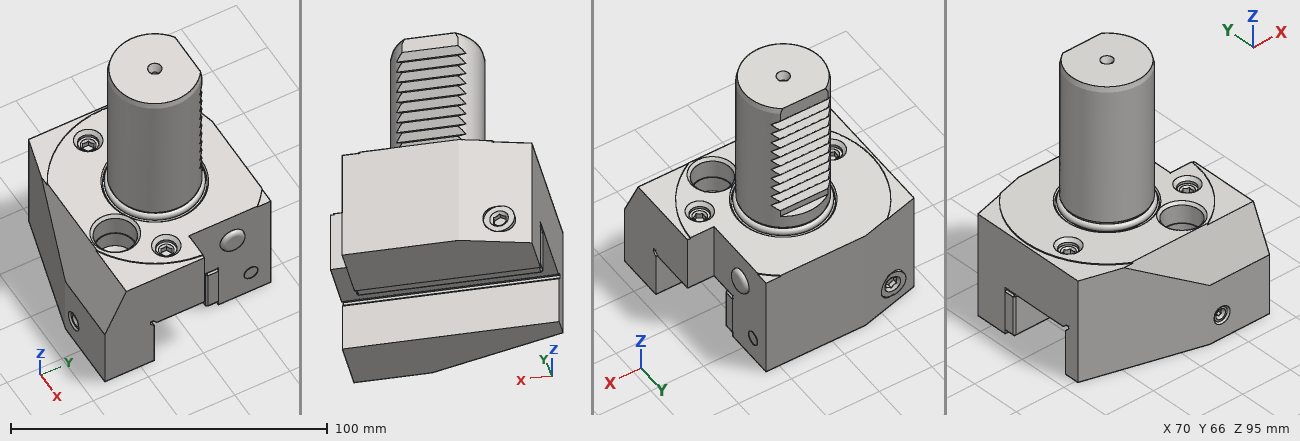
import cadquery as cq
import math

LEFT_X = -35.0
RIGHT_X = 35.0
FRONT_Y = -38.0
BACK_Y = 28.0
BLOCK_HEIGHT = 40.0
SIDE_ANGLE = math.radians(15)
FRONT_TAPER_END_X = 9.8
BACK_TAPER_END_X = -12.6
NOTCH_X = 25.0
NOTCH_Y = -1.8
SEAT_RADIUS = 34.0
SEAT_HEIGHT = 0.4
BEVEL_TOP_Y = -30.0
BEVEL_DEPTH = 17.0

SLOT_FRONT_Y = -20.0
SLOT_BACK_Y = 8.9
SLOT_TOP_Z = -22.0
RELIEF_LENGTH = 1.0
RELIEF_OFFSET = 1.35

SHANK_RADIUS = 15.0
SHANK_LENGTH = 55.0
SHANK_TIP_LENGTH = 2.0
SHANK_TIP_SETBACK = 0.5
NECK_RADIUS = 14.5
NECK_TOP_Z = 2.4
FLAT_Y = 12.0
FLAT_BOTTOM_Z = 7.3
TOOTH_PITCH = 4.0
TOOTH_DEPTH = 2.0
TOOTH_COUNT = 10
FIRST_TOOTH_Z = 11.8
CENTRE_HOLE_RADIUS = 2.25
PILOT_HOLE_RADIUS = 0.8
PILOT_HOLE_DEPTH = 5.0
CENTRE_CONE_ANGLE = math.radians(60)

RING_TUBE_RADIUS = 1.25
RING_OUTER_RADIUS = 16.0
RING_CENTRE_Z = 0.2
GROOVE_RADIUS = 17.0
GROOVE_CHAMFER = 0.5
GROOVE_DEPTH = 1.5

COOLANT_X = 12.6
COOLANT_Y = -21.5
COOLANT_RADIUS = 7.0
COOLANT_CHAMFER = 1.0
COOLANT_DEPTH = 8.0
COOLANT_CORE_RADIUS = 6.75
COOLANT_CORE_DEPTH = 14.0
DRILL_TIP_ANGLE = math.radians(118)
FEED_X = 15.0
FEED_Y = -25.9
FEED_RADIUS = 2.6

PLUG_X = 25.0
PLUG_Y = -10.0
PLUG_MOUTH_RADIUS = 4.65
PLUG_RADIUS = 3.4
PLUG_RECESS = 2.2
PLUG_SOCKET_RADIUS = 2.5
PLUG_SOCKET_WIDTH = 3.5
SOCKET_DEPTH = 2.5

CLAMP_Z = -31.0
FRONT_SCREW_X = 15.0
FRONT_SCREW_MOUTH_RADIUS = 3.35
FRONT_SCREW_RADIUS = 2.7
FRONT_SOCKET_RADIUS = 2.0
FRONT_SOCKET_WIDTH = 2.0
BACK_SCREW_X = -25.0
BACK_SCREW_RADIUS = 5.0
BACK_SCREW_END_Y = 24.9
BACK_SCREW_ROOT_Y = 20.0
BACK_SOCKET_RADIUS = 3.0
BACK_SOCKET_WIDTH = 4.0

NOZZLE_Y = 13.9
NOZZLE_Z = -11.0
NOZZLE_RADIUS = 4.4
NOZZLE_HEIGHT = 1.6
NOZZLE_FILLET = 1.5
DISC_Y = 20.7
DISC_RADIUS = 2.5
DISC_HEIGHT = 0.2

JAW_LEFT_X = LEFT_X
JAW_RIGHT_X = NOTCH_X
JAW_THICKNESS = 4.4
JAW_HEIGHT = 16.0
JAW_CHAMFER = 0.6


def cylinder_z(x, y, radius, bottom, top):
    return cq.Workplane("XY", origin=(x, y, bottom)).circle(radius).extrude(top - bottom)


def cylinder_y(x, z, radius, front, back):
    return cq.Workplane("XZ", origin=(x, back, z)).circle(radius).extrude(back - front)


def cone(base, direction, base_radius, end_radius, height):
    solid = cq.Solid.makeCone(base_radius, end_radius, height, cq.Vector(*base), cq.Vector(*direction))
    return cq.Workplane(solid)


def socket(plane, width, mouth_radius, depth):
    """Hexagon socket with a countersunk mouth; the plane's normal points into the screw."""
    hexagon = cq.Workplane(plane).polygon(6, width / math.cos(math.pi / 6)).extrude(depth)
    hexagon = hexagon.rotate(plane.origin, plane.origin + plane.zDir, 90)
    mouth_depth = mouth_radius - width / 2
    mouth = cone(plane.origin.toTuple(), plane.zDir.toTuple(), mouth_radius, width / 2, mouth_depth)
    return hexagon.union(mouth)


def block():
    front_drop = (FRONT_TAPER_END_X - LEFT_X) * math.tan(SIDE_ANGLE)
    back_drop = (BACK_TAPER_END_X - LEFT_X) * math.tan(SIDE_ANGLE)
    body = (
        cq.Workplane("XY", origin=(0, 0, -BLOCK_HEIGHT))
        .moveTo(FRONT_TAPER_END_X, FRONT_Y)
        .lineTo(RIGHT_X, FRONT_Y)
        .lineTo(RIGHT_X, NOTCH_Y)
        .lineTo(NOTCH_X, NOTCH_Y)
        .lineTo(NOTCH_X, BACK_Y)
        .lineTo(BACK_TAPER_END_X, BACK_Y)
        .lineTo(LEFT_X, BACK_Y - back_drop)
        .lineTo(LEFT_X, FRONT_Y + front_drop)
        .close()
        .extrude(BLOCK_HEIGHT)
    )
    corner_radius = math.hypot(RIGHT_X, FRONT_Y) + 1
    around_seat = (
        cq.Workplane("XY").circle(corner_radius).circle(SEAT_RADIUS).extrude(-SEAT_HEIGHT)
    )
    bevel = (
        cq.Workplane("YZ", origin=(LEFT_X, 0, 0))
        .polyline([(BEVEL_TOP_Y, 0), (FRONT_Y, -BEVEL_DEPTH), (FRONT_Y, 0)])
        .close()
        .extrude(RIGHT_X - LEFT_X)
    )
    return body.cut(around_seat).cut(bevel)


def tool_slot():
    return (
        cq.Workplane("YZ", origin=(LEFT_X, 0, 0))
        .moveTo(SLOT_BACK_Y, -BLOCK_HEIGHT)
        .lineTo(SLOT_BACK_Y, SLOT_TOP_Z)
        .lineTo(SLOT_FRONT_Y + RELIEF_LENGTH, SLOT_TOP_Z)
        .lineTo(SLOT_FRONT_Y + RELIEF_LENGTH - RELIEF_OFFSET, SLOT_TOP_Z + RELIEF_OFFSET)
        .lineTo(SLOT_FRONT_Y - RELIEF_OFFSET, SLOT_TOP_Z + RELIEF_OFFSET)
        .lineTo(SLOT_FRONT_Y - RELIEF_OFFSET, SLOT_TOP_Z - RELIEF_LENGTH + RELIEF_OFFSET)
        .lineTo(SLOT_FRONT_Y, SLOT_TOP_Z - RELIEF_LENGTH)
        .lineTo(SLOT_FRONT_Y, -BLOCK_HEIGHT)
        .close()
        .extrude(RIGHT_X - LEFT_X)
    )


def shank():
    body = (
        cq.Workplane("XZ")
        .moveTo(0, -GROOVE_DEPTH)
        .lineTo(NECK_RADIUS, -GROOVE_DEPTH)
        .lineTo(NECK_RADIUS, RING_CENTRE_Z + RING_TUBE_RADIUS)
        .lineTo(SHANK_RADIUS, NECK_TOP_Z)
        .lineTo(SHANK_RADIUS, SHANK_LENGTH - SHANK_TIP_LENGTH)
        .lineTo(SHANK_RADIUS - SHANK_TIP_SETBACK, SHANK_LENGTH)
        .lineTo(0, SHANK_LENGTH)
        .close()
        .revolve(360, (0, 0, 0), (0, 1, 0))
    )
    flat = (
        cq.Workplane("XY", origin=(0, 0, FLAT_BOTTOM_Z))
        .rect(2 * SHANK_RADIUS, 2 * (SHANK_RADIUS - FLAT_Y))
        .extrude(SHANK_LENGTH - FLAT_BOTTOM_Z)
        .translate((0, SHANK_RADIUS, 0))
    )
    body = body.cut(flat)
    for i in range(TOOTH_COUNT):
        z = FIRST_TOOTH_Z + i * TOOTH_PITCH
        gap = (
            cq.Workplane("YZ")
            .polyline([(FLAT_Y, z - TOOTH_DEPTH), (FLAT_Y - TOOTH_DEPTH, z), (FLAT_Y, z + TOOTH_DEPTH)])
            .close()
            .extrude(SHANK_RADIUS, both=True)
        )
        body = body.cut(gap)
    cone_depth = CENTRE_HOLE_RADIUS / math.tan(CENTRE_CONE_ANGLE / 2)
    pilot_hole = cylinder_z(0, 0, PILOT_HOLE_RADIUS, SHANK_LENGTH - PILOT_HOLE_DEPTH, SHANK_LENGTH)
    countersink = cone((0, 0, SHANK_LENGTH), (0, 0, -1), CENTRE_HOLE_RADIUS, 0, cone_depth)
    return body.cut(pilot_hole).cut(countersink)


def sealing_ring():
    ring = cq.Solid.makeTorus(
        RING_OUTER_RADIUS - RING_TUBE_RADIUS, RING_TUBE_RADIUS, cq.Vector(0, 0, RING_CENTRE_Z)
    )
    return cq.Workplane(ring)


def ring_groove():
    bore_radius = GROOVE_RADIUS - GROOVE_CHAMFER
    groove = cylinder_z(0, 0, bore_radius, -GROOVE_DEPTH, 0)
    return groove.union(cone((0, 0, 0), (0, 0, -1), GROOVE_RADIUS, bore_radius, GROOVE_CHAMFER))


def coolant_bore():
    tip_length = COOLANT_CORE_RADIUS / math.tan(DRILL_TIP_ANGLE / 2)
    mouth_radius = COOLANT_RADIUS + COOLANT_CHAMFER
    mouth = cone((COOLANT_X, COOLANT_Y, 0), (0, 0, -1), mouth_radius, COOLANT_RADIUS, COOLANT_CHAMFER)
    core = cylinder_z(COOLANT_X, COOLANT_Y, COOLANT_CORE_RADIUS, -COOLANT_CORE_DEPTH, 0)
    tip = cone((COOLANT_X, COOLANT_Y, -COOLANT_CORE_DEPTH), (0, 0, -1), COOLANT_CORE_RADIUS, 0, tip_length)
    bore = cylinder_z(COOLANT_X, COOLANT_Y, COOLANT_RADIUS, -COOLANT_DEPTH, 0)
    feed = cylinder_z(FEED_X, FEED_Y, FEED_RADIUS, CLAMP_Z, -COOLANT_CORE_DEPTH)
    return bore.union(mouth).union(core).union(tip).union(feed)


def plug_recess(x):
    mouth_depth = PLUG_MOUTH_RADIUS - PLUG_RADIUS
    mouth = cone((x, PLUG_Y, 0), (0, 0, -1), PLUG_MOUTH_RADIUS, PLUG_RADIUS, mouth_depth)
    bore = cylinder_z(x, PLUG_Y, PLUG_RADIUS, -PLUG_RECESS, 0)
    plane = cq.Plane(origin=(x, PLUG_Y, -PLUG_RECESS), xDir=(1, 0, 0), normal=(0, 0, -1))
    return mouth.union(bore).union(socket(plane, PLUG_SOCKET_WIDTH, PLUG_SOCKET_RADIUS, SOCKET_DEPTH))


def front_screw_recess():
    depth = FRONT_SCREW_MOUTH_RADIUS - FRONT_SCREW_RADIUS
    mouth = cone(
        (FRONT_SCREW_X, FRONT_Y, CLAMP_Z), (0, 1, 0), FRONT_SCREW_MOUTH_RADIUS, FRONT_SCREW_RADIUS, depth
    )
    plane = cq.Plane(origin=(FRONT_SCREW_X, FRONT_Y + depth, CLAMP_Z), xDir=(1, 0, 0), normal=(0, 1, 0))
    return mouth.union(socket(plane, FRONT_SOCKET_WIDTH, FRONT_SOCKET_RADIUS, SOCKET_DEPTH))


def with_back_screw(body):
    """The screw end stands proud on one side of the tapered face and lies below it on the other."""
    recess = cylinder_y(BACK_SCREW_X, CLAMP_Z, BACK_SCREW_RADIUS, BACK_SCREW_END_Y, BACK_Y)
    screw = cylinder_y(BACK_SCREW_X, CLAMP_Z, BACK_SCREW_RADIUS, BACK_SCREW_ROOT_Y, BACK_SCREW_END_Y)
    plane = cq.Plane(
        origin=(BACK_SCREW_X, BACK_SCREW_END_Y, CLAMP_Z), xDir=(1, 0, 0), normal=(0, -1, 0)
    )
    return body.cut(recess).union(screw).cut(
        socket(plane, BACK_SOCKET_WIDTH, BACK_SOCKET_RADIUS, SOCKET_DEPTH)
    )


def side_fittings():
    nozzle = (
        cq.Workplane("YZ", origin=(NOTCH_X, NOZZLE_Y, NOZZLE_Z))
        .circle(NOZZLE_RADIUS)
        .extrude(NOZZLE_HEIGHT)
        .faces(">X")
        .edges()
        .fillet(NOZZLE_FILLET)
    )
    disc = cq.Workplane("YZ", origin=(NOTCH_X, DISC_Y, CLAMP_Z)).circle(DISC_RADIUS).extrude(DISC_HEIGHT)
    return nozzle, disc


def make_holder():
    body = block().cut(tool_slot()).cut(ring_groove()).union(shank()).union(sealing_ring())
    body = body.cut(coolant_bore()).cut(front_screw_recess())
    for x in (-PLUG_X, PLUG_X):
        body = body.cut(plug_recess(x))
    body = with_back_screw(body)
    for fitting in side_fittings():
        body = body.union(fitting)
    return body


def make_jaw():
    corner = (JAW_LEFT_X, SLOT_BACK_Y - JAW_THICKNESS, CLAMP_Z - JAW_HEIGHT / 2)
    jaw = cq.Workplane("XY").box(JAW_RIGHT_X - JAW_LEFT_X, JAW_THICKNESS, JAW_HEIGHT, centered=False)
    jaw = jaw.translate(corner)
    return jaw.edges("not(>Y)").chamfer(JAW_CHAMFER)


holder = make_holder()
jaw = make_jaw()

result = cq.Compound.makeCompound([holder.solids().val(), jaw.solids().val()])